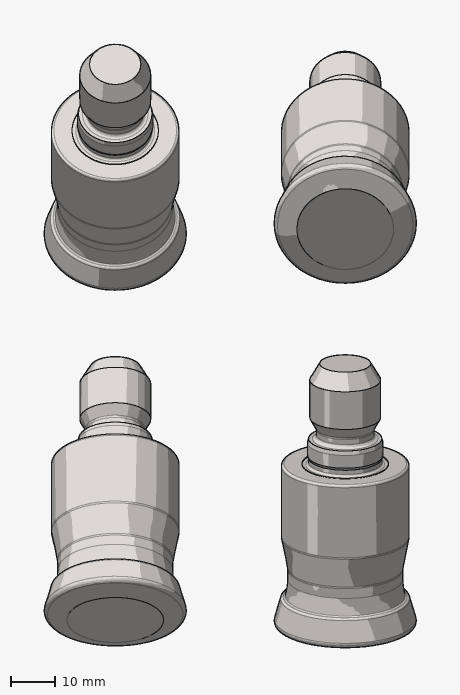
import cadquery as cq

TOTAL_HEIGHT = 64.0

BODY_TOP = 40.0
BODY_RADIUS = 28.8 / 2
BODY_TOP_ROUND = 0.6
TAPER_TOP = 22.45
TAPER_BOTTOM = 15.0
TAPER_ROUND = 2.25
WAIST_RADIUS = 26.0 / 2
WAIST_BOTTOM = 12.4
SWEEP_OUTER_RADIUS = 13.6
SWEEP_ROOT_ROUND = 0.4
FOOT_TOP = 8.1
FOOT_TOP_RADIUS = 14.45
FOOT_TOP_ROUND = 0.65
RIM_RADIUS = 16.25
RIM_HEIGHT = 1.7
RIM_ROUND = 1.1
UNDERSIDE_RADIUS = 10.9
SOCKET_RADIUS = 9.7

PLUG_RADIUS = SOCKET_RADIUS
PLUG_RECESS = 0.2
PLUG_LENGTH = 9.6
SHANK_RADIUS = 16.6 / 2
SHANK_ROOT_ROUND = 0.6
COLLAR_RADIUS = 17.0 / 2
COLLAR_CHAMFER_BOTTOM = 41.4
COLLAR_BOTTOM = 42.0
COLLAR_SHOULDER = 45.05
COLLAR_TOP = 46.0
COLLAR_TOP_RADIUS = 8.25
GROOVE_RADIUS = 13.0 / 2
GROOVE_ROOT_ROUND = 0.9
GROOVE_TOP = 48.4
GROOVE_TOP_ROUND = 1.0
HEAD_RADIUS = 16.0 / 2
HEAD_BOTTOM = 51.1
HEAD_SHOULDER = 60.1
HEAD_TIP_RADIUS = 5.75

PLUG_TOP = BODY_TOP - PLUG_RECESS
PLUG_BOTTOM = PLUG_TOP - PLUG_LENGTH


def revolve(profile):
    """Turn a closed (radius, height) profile about the Z axis."""
    return profile.close().revolve(360, (0, 0, 0), (0, 1, 0))


def round_circle(solid, radius, height, size):
    """Round the circular edge with the given radius at the given height."""
    reach = radius + 0.005
    slab = 0.005
    box = cq.selectors.BoxSelector(
        (-reach, -reach, height - slab), (reach, reach, height + slab), boundingbox=True
    )
    outside = cq.selectors.RadiusNthSelector(-1)
    return solid.edges(box).edges(outside).fillet(size)


def make_body():
    profile = (
        cq.Workplane("XZ")
        .lineTo(UNDERSIDE_RADIUS, 0)
        .lineTo(RIM_RADIUS, RIM_HEIGHT)
        .lineTo(FOOT_TOP_RADIUS, FOOT_TOP)
        .lineTo(SWEEP_OUTER_RADIUS, FOOT_TOP)
    )
    rise = WAIST_BOTTOM - FOOT_TOP
    flare = SWEEP_OUTER_RADIUS - WAIST_RADIUS
    sweep_radius = (rise**2 + flare**2) / (2 * flare)
    profile = (
        profile.radiusArc((WAIST_RADIUS, WAIST_BOTTOM), sweep_radius)
        .lineTo(WAIST_RADIUS, TAPER_BOTTOM)
        .lineTo(BODY_RADIUS, TAPER_TOP)
        .lineTo(BODY_RADIUS, BODY_TOP)
        .lineTo(SOCKET_RADIUS, BODY_TOP)
        .lineTo(SOCKET_RADIUS, PLUG_BOTTOM)
        .lineTo(0, PLUG_BOTTOM)
    )
    body = revolve(profile)
    body = round_circle(body, BODY_RADIUS, BODY_TOP, BODY_TOP_ROUND)
    body = round_circle(body, BODY_RADIUS, TAPER_TOP, TAPER_ROUND)
    body = round_circle(body, WAIST_RADIUS, TAPER_BOTTOM, TAPER_ROUND)
    body = round_circle(body, SWEEP_OUTER_RADIUS, FOOT_TOP, SWEEP_ROOT_ROUND)
    body = round_circle(body, FOOT_TOP_RADIUS, FOOT_TOP, FOOT_TOP_ROUND)
    return round_circle(body, RIM_RADIUS, RIM_HEIGHT, RIM_ROUND)


def make_stud():
    profile = (
        cq.Workplane("XZ")
        .moveTo(0, PLUG_BOTTOM)
        .lineTo(PLUG_RADIUS, PLUG_BOTTOM)
        .lineTo(PLUG_RADIUS, PLUG_TOP)
        .lineTo(SHANK_RADIUS, PLUG_TOP)
        .lineTo(SHANK_RADIUS, COLLAR_CHAMFER_BOTTOM)
        .lineTo(COLLAR_RADIUS, COLLAR_BOTTOM)
        .lineTo(COLLAR_RADIUS, COLLAR_SHOULDER)
        .lineTo(COLLAR_TOP_RADIUS, COLLAR_TOP)
        .lineTo(GROOVE_RADIUS, COLLAR_TOP)
        .lineTo(GROOVE_RADIUS, GROOVE_TOP)
        .lineTo(HEAD_RADIUS, HEAD_BOTTOM)
        .lineTo(HEAD_RADIUS, HEAD_SHOULDER)
        .lineTo(HEAD_TIP_RADIUS, TOTAL_HEIGHT)
        .lineTo(0, TOTAL_HEIGHT)
    )
    stud = revolve(profile)
    stud = round_circle(stud, SHANK_RADIUS, PLUG_TOP, SHANK_ROOT_ROUND)
    stud = round_circle(stud, GROOVE_RADIUS, COLLAR_TOP, GROOVE_ROOT_ROUND)
    return round_circle(stud, GROOVE_RADIUS, GROOVE_TOP, GROOVE_TOP_ROUND)


body = make_body()
stud = make_stud()
result = cq.Compound.makeCompound([body.val(), stud.val()])